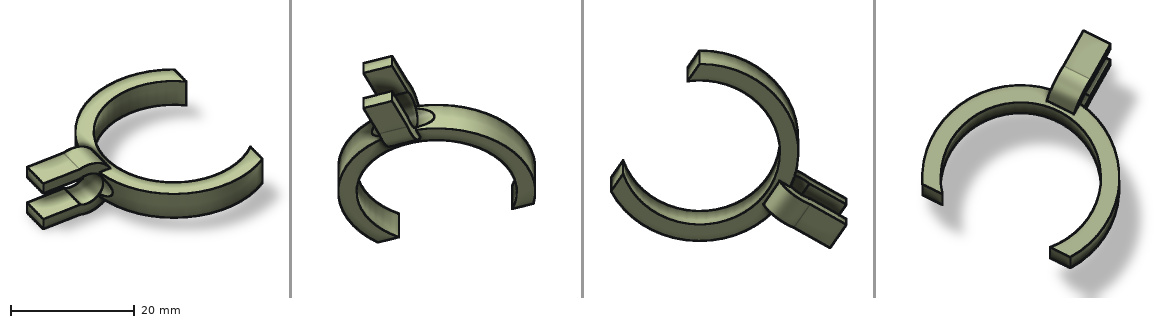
import cadquery as cq
import math

ring_outer_radius = 16.0
ring_inner_radius = 13.0
ring_height = 5.0
ring_end_y = 8.5

clip_width = 5.0
bend_outer_radius = 5.0
bend_inner_radius = 3.0
bend_center_y = -18.05
clip_tip_y = -26.5
arm_outer_z = 4.77
arm_thickness = 2.1

arm_inner_z = arm_outer_z - arm_thickness
outer_root_y = bend_center_y - math.sqrt(bend_outer_radius**2 - arm_outer_z**2)
inner_root_y = bend_center_y - math.sqrt(bend_inner_radius**2 - arm_inner_z**2)


def make_clip():
    """Omega-shaped clip profile in the YZ plane, extruded along X about the middle."""
    profile = (
        cq.Workplane("YZ")
        .moveTo(clip_tip_y, arm_outer_z)
        .lineTo(outer_root_y, arm_outer_z)
        .threePointArc((bend_center_y + bend_outer_radius, 0), (outer_root_y, -arm_outer_z))
        .lineTo(clip_tip_y, -arm_outer_z)
        .lineTo(clip_tip_y, -arm_inner_z)
        .lineTo(inner_root_y, -arm_inner_z)
        .threePointArc((bend_center_y + bend_inner_radius, 0), (inner_root_y, arm_inner_z))
        .lineTo(clip_tip_y, arm_inner_z)
        .close()
    )
    return profile.extrude(clip_width / 2, both=True)


def make_bore():
    """Round bore along X that continues the inside of the bend through the ring wall."""
    return (
        cq.Workplane("YZ")
        .center(bend_center_y, 0)
        .circle(bend_inner_radius)
        .extrude(ring_outer_radius, both=True)
    )


def make_ring(clip):
    """Ring with a flat-cut opening, the crosswise bore and the seat that holds the clip."""
    ring = (
        cq.Workplane("XY")
        .circle(ring_outer_radius)
        .circle(ring_inner_radius)
        .extrude(ring_height / 2, both=True)
    )
    opening_depth = ring_outer_radius - ring_end_y
    opening = (
        cq.Workplane("XY")
        .center(0, ring_end_y + opening_depth / 2)
        .rect(2 * ring_outer_radius, opening_depth)
        .extrude(ring_height / 2, both=True)
    )
    return ring.cut(opening).cut(make_bore()).cut(clip)


clip = make_clip()
ring = make_ring(clip)

result = cq.Compound.makeCompound([ring.solids().val(), clip.solids().val()])